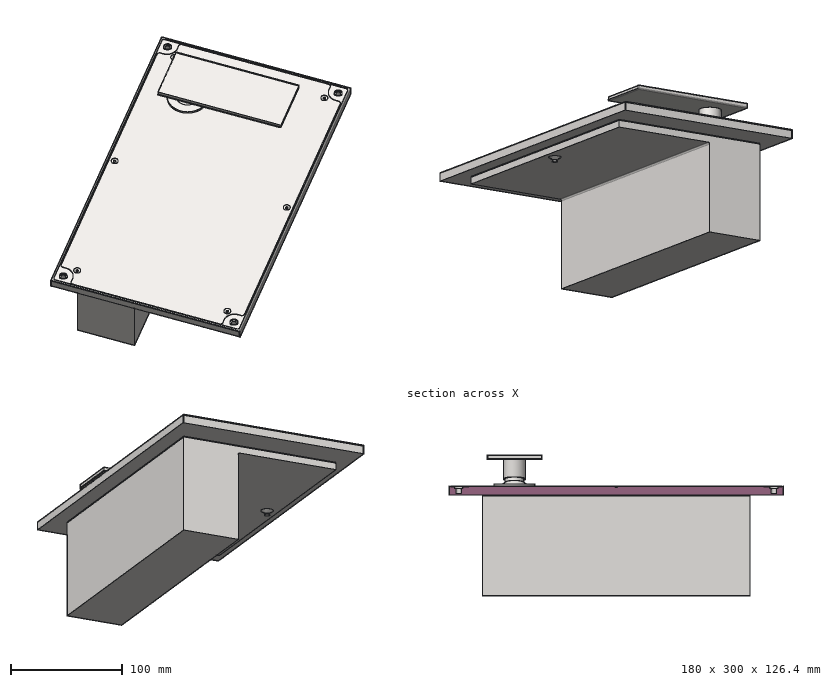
import cadquery as cq

PLATE_WIDTH = 180.0
PLATE_LENGTH = 300.0
PLATE_THICKNESS = 8.2
SHEET_THICKNESS = 1.0
BEND_RADIUS = 1.0
CORE_SETBACK = 0.2

RECESS_DEPTH = 0.5
RECESS_MARGIN = 1.9
RECESS_CORNER_RADIUS = 2.0
PANEL_MARGIN_X = 3.0
PANEL_MARGIN_Y = 2.3
NOTCH_LENGTH = 18.0
NOTCH_RADIUS = 9.7
NOTCH_EDGE_RADIUS = 2.4
TIP_REACH = 1.0

MOUNT_X = 81.0
MOUNT_Y = 141.2
MOUNT_HEAD_DIAMETER = 7.2
MOUNT_HEAD_DEPTH = 1.5
MOUNT_HOLE_DIAMETER = 4.4
MOUNT_HOLE_DEPTH = 6.0

SCREW_CORNER_X = 71.3
SCREW_CORNER_Y = 131.3
SCREW_SIDE_X = 81.7
SCREW_HEAD_DIAMETER = 6.2
SCREW_HEAD_DEPTH = 0.3
SCREW_SOCKET_DIAMETER = 2.0
SCREW_SOCKET_DEPTH = 1.0

HOUSING_LENGTH = 240.0
HOUSING_LEFT = -75.0
HOUSING_BODY_RIGHT = -20.7
HOUSING_SHELF_RIGHT = 76.5
HOUSING_BOTTOM_DEPTH = 98.39
SHELF_THICKNESS = 6.4
SEAM_HEIGHT = 0.8
SEAM_INSET = 0.3
HOUSING_CORNER_RADIUS = 1.5

NOZZLE_X = 66.0
NOZZLE_FLANGE_DIAMETER = 11.2
NOZZLE_WAIST_DIAMETER = 3.6
NOZZLE_TIP_DIAMETER = 5.0
NOZZLE_CONE_HEIGHT = 2.6
NOZZLE_HEIGHT = 4.1

TAP_X = -44.5
TAP_Y = 91.2
DISC_DIAMETER = 36.8
DISC_HEIGHT = 2.0
DOME_DIAMETER = 21.0
DOME_HEIGHT = 3.6
HUB_OFFSET = 4.1
HUB_DIAMETER = 20.0
HUB_CENTER_HEIGHT = 6.3
HUB_TILT = 11.5
NECK_DIAMETER = 17.0
NECK_LENGTH = 6.0
LEVER_LEFT = -64.3
LEVER_LENGTH = 117.2
LEVER_WIDTH = 49.4
LEVER_ROOT_THICKNESS = 4.4
LEVER_TIP_THICKNESS = 3.8
LEVER_TOP = 28.0

PLATE_BOTTOM = -PLATE_THICKNESS
HOUSING_TOP = PLATE_BOTTOM - SEAM_HEIGHT
SHELF_BOTTOM = HOUSING_TOP - SHELF_THICKNESS
HUB_X = TAP_X + HUB_OFFSET


def block(x_min, x_max, y_min, y_max, z_min, z_max):
    """Box given by its limits along each axis."""
    size = (x_max - x_min, y_max - y_min, z_max - z_min)
    return cq.Workplane("XY").box(*size, centered=False).translate((x_min, y_min, z_min))


def disc(diameter, z_min, z_max, x=0.0, y=0.0):
    """Upright cylinder between two heights."""
    base = cq.Workplane("XY").workplane(offset=z_min).center(x, y)
    return base.circle(diameter / 2).extrude(z_max - z_min)


def make_plate():
    """Folded sheet with rounded bends, filled by a core that stops just short of the sheet ends."""
    half_x = PLATE_WIDTH / 2
    half_y = PLATE_LENGTH / 2
    plate = block(-half_x, half_x, -half_y, half_y, PLATE_BOTTOM, 0)
    plate = plate.edges("|Y and >Z").fillet(BEND_RADIUS)
    inner_x = half_x - SHEET_THICKNESS
    for core_end in (-half_y, half_y - CORE_SETBACK):
        setback = block(-inner_x, inner_x, core_end, core_end + CORE_SETBACK,
                        PLATE_BOTTOM, -SHEET_THICKNESS)
        plate = plate.cut(setback)
    return plate


def make_panel():
    """Raised panel with its four corners notched around the mounting holes."""
    half_x = PLATE_WIDTH / 2 - PANEL_MARGIN_X
    half_y = PLATE_LENGTH / 2 - PANEL_MARGIN_Y
    panel = block(-half_x, half_x, -half_y, half_y, -RECESS_DEPTH, 0)
    notch_x = PLATE_WIDTH / 2 - NOTCH_LENGTH
    notch_y = PLATE_LENGTH / 2 - NOTCH_LENGTH
    for side_x in (-1, 1):
        for side_y in (-1, 1):
            notch = block(notch_x, half_x, notch_y, half_y, -RECESS_DEPTH, 0)
            notch = notch.edges("|Z and <X and <Y").fillet(NOTCH_RADIUS)
            if side_x < 0:
                notch = notch.mirror("YZ")
            if side_y < 0:
                notch = notch.mirror("XZ")
            panel = panel.cut(notch)
    tips_x = [(side_x * notch_x, side_y * half_y) for side_x in (-1, 1) for side_y in (-1, 1)]
    tips_y = [(side_x * half_x, side_y * notch_y) for side_x in (-1, 1) for side_y in (-1, 1)]
    for x, y in tips_x + tips_y:
        around_tip = cq.selectors.BoxSelector(
            (x - TIP_REACH, y - TIP_REACH, -RECESS_DEPTH),
            (x + TIP_REACH, y + TIP_REACH, 0),
        )
        panel = panel.edges(around_tip).fillet(NOTCH_EDGE_RADIUS)
    return panel


def make_recess():
    """Volume of the shallow rounded recess in the plate top."""
    half_x = PLATE_WIDTH / 2 - RECESS_MARGIN
    half_y = PLATE_LENGTH / 2 - RECESS_MARGIN
    recess = block(-half_x, half_x, -half_y, half_y, -RECESS_DEPTH, 0)
    return recess.edges("|Z").fillet(RECESS_CORNER_RADIUS)


def cut_stepped_hole(body, x, y, top, head_diameter, head_depth, hole_diameter, hole_depth):
    """Blind hole with a wider head; both depths are measured from the surface at `top`."""
    body = body.cut(disc(head_diameter, top - head_depth, top, x, y))
    return body.cut(disc(hole_diameter, top - hole_depth, top, x, y))


def cut_holes(body):
    """Mounting holes in the corner notches and screw heads in the panel."""
    screws = [(-SCREW_SIDE_X, 0), (SCREW_SIDE_X, 0)]
    for side_x in (-1, 1):
        for side_y in (-1, 1):
            body = cut_stepped_hole(body, side_x * MOUNT_X, side_y * MOUNT_Y, -RECESS_DEPTH,
                                    MOUNT_HEAD_DIAMETER, MOUNT_HEAD_DEPTH,
                                    MOUNT_HOLE_DIAMETER, MOUNT_HOLE_DEPTH)
            screws.append((side_x * SCREW_CORNER_X, side_y * SCREW_CORNER_Y))
    for x, y in screws:
        body = cut_stepped_hole(body, x, y, 0, SCREW_HEAD_DIAMETER, SCREW_HEAD_DEPTH,
                                SCREW_SOCKET_DIAMETER, SCREW_SOCKET_DEPTH)
    return body


def make_housing():
    """L-shaped housing, a body with a thin shelf, joined to the plate by a narrower seam."""
    half_y = HOUSING_LENGTH / 2
    profile = (
        cq.Workplane("XZ")
        .moveTo(HOUSING_LEFT, HOUSING_TOP)
        .lineTo(HOUSING_SHELF_RIGHT, HOUSING_TOP)
        .lineTo(HOUSING_SHELF_RIGHT, SHELF_BOTTOM)
        .lineTo(HOUSING_BODY_RIGHT + HOUSING_CORNER_RADIUS, SHELF_BOTTOM)
        .radiusArc((HOUSING_BODY_RIGHT, SHELF_BOTTOM - HOUSING_CORNER_RADIUS), -HOUSING_CORNER_RADIUS)
        .lineTo(HOUSING_BODY_RIGHT, -HOUSING_BOTTOM_DEPTH)
        .lineTo(HOUSING_LEFT, -HOUSING_BOTTOM_DEPTH)
        .close()
    )
    seam_half_y = half_y - SEAM_INSET
    seam = block(HOUSING_LEFT + SEAM_INSET, HOUSING_SHELF_RIGHT - SEAM_INSET,
                 -seam_half_y, seam_half_y, HOUSING_TOP, PLATE_BOTTOM)
    return profile.extrude(half_y, both=True).union(seam)


def make_nozzle():
    """Waisted nozzle under the shelf."""
    top = SHELF_BOTTOM
    waist = top - NOZZLE_CONE_HEIGHT
    tip = top - NOZZLE_HEIGHT
    profile = (
        cq.Workplane("XZ")
        .moveTo(0, top)
        .lineTo(NOZZLE_FLANGE_DIAMETER / 2, top)
        .lineTo(NOZZLE_WAIST_DIAMETER / 2, waist)
        .lineTo(NOZZLE_TIP_DIAMETER / 2, tip)
        .lineTo(0, tip)
        .close()
    )
    return profile.revolve(360, (0, 0, 0), (0, 1, 0)).translate((NOZZLE_X, 0, 0))


def make_dome():
    """Spherical cap on the base disc."""
    radius = DOME_DIAMETER / 2
    sphere_radius = (radius ** 2 + DOME_HEIGHT ** 2) / (2 * DOME_HEIGHT)
    profile = (
        cq.Workplane("XZ")
        .moveTo(0, DISC_HEIGHT)
        .lineTo(radius, DISC_HEIGHT)
        .radiusArc((0, DISC_HEIGHT + DOME_HEIGHT), -sphere_radius)
        .close()
    )
    return profile.revolve(360, (0, 0, 0), (0, 1, 0)).translate((TAP_X, TAP_Y, 0))


def make_hub():
    """Upright hub with a sloping underside, standing on a neck square to that slope."""
    hub = disc(HUB_DIAMETER, 0, LEVER_TOP - LEVER_TIP_THICKNESS)
    pivot = (0, 0, HUB_CENTER_HEIGHT)
    axis_end = (0, 1, HUB_CENTER_HEIGHT)
    below = block(-HUB_DIAMETER, HUB_DIAMETER, -HUB_DIAMETER, HUB_DIAMETER,
                  HUB_CENTER_HEIGHT - HUB_DIAMETER, HUB_CENTER_HEIGHT)
    hub = hub.cut(below.rotate(pivot, axis_end, HUB_TILT))
    neck = disc(NECK_DIAMETER, HUB_CENTER_HEIGHT - NECK_LENGTH / 2, HUB_CENTER_HEIGHT + NECK_LENGTH / 2)
    neck = neck.rotate(pivot, axis_end, HUB_TILT)
    return hub.union(neck).translate((HUB_X, TAP_Y, 0))


def lever_wedge(x_min, x_max, y_min, y_max, z_top, lift):
    """Flat-topped wedge whose underside is the lever underside raised by `lift`."""
    profile = (
        cq.Workplane("XZ")
        .moveTo(x_min, z_top)
        .lineTo(x_max, z_top)
        .lineTo(x_max, LEVER_TOP - LEVER_TIP_THICKNESS + lift)
        .lineTo(x_min, LEVER_TOP - LEVER_ROOT_THICKNESS + lift)
        .close()
    )
    return profile.extrude(y_min - y_max).translate((0, y_min, 0))


def make_lever():
    """Tapered lever: a sheet folded up along its +Y edge, carrying a core set back from the sheet."""
    right = LEVER_LEFT + LEVER_LENGTH
    front = TAP_Y - LEVER_WIDTH / 2
    back = TAP_Y + LEVER_WIDTH / 2
    fold_y = back - SHEET_THICKNESS
    sheet = lever_wedge(LEVER_LEFT, right, front, back, LEVER_TOP, 0)
    sheet = sheet.faces(">X").edges("<Z").fillet(BEND_RADIUS)
    sheet = sheet.faces(">Y").edges("<Z").fillet(BEND_RADIUS)
    sheet = sheet.cut(lever_wedge(LEVER_LEFT, right, front, fold_y, LEVER_TOP, SHEET_THICKNESS))
    core = lever_wedge(LEVER_LEFT, right, front, fold_y, LEVER_TOP - CORE_SETBACK, SHEET_THICKNESS)
    core = core.intersect(block(LEVER_LEFT + CORE_SETBACK, right - CORE_SETBACK,
                                front + CORE_SETBACK, fold_y, 0, LEVER_TOP))
    return sheet.union(core)


plate = make_plate().cut(make_recess()).union(make_panel())
plate = cut_holes(plate)
base_disc = disc(DISC_DIAMETER, -RECESS_DEPTH, DISC_HEIGHT, TAP_X, TAP_Y)
tap = base_disc.union(make_dome()).union(make_hub()).union(make_lever())
result = plate.union(make_housing()).union(make_nozzle()).union(tap)